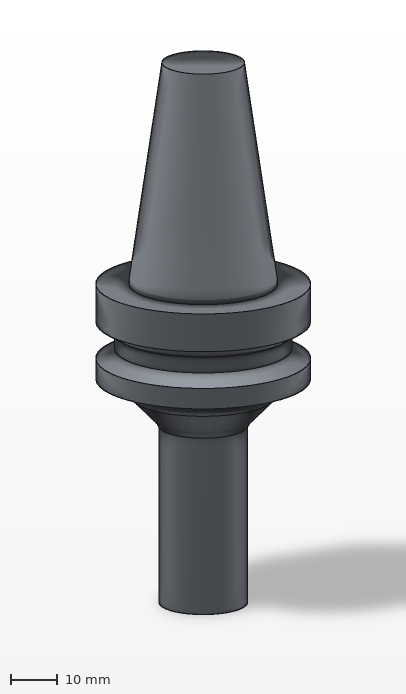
import cadquery as cq

shank_dia = 19.0
taper_tip_dia = 17.7
gauge_dia = 31.8
flange_dia = 46.0
groove_dia = 38.0
collar_dia = 31.0
neck_dia = 20.2
flange_foot_dia = 34.9

overall_length = 120.4
shank_top = 39.4
neck_top = 40.5
collar_bottom = 46.0
collar_top = 47.9
flange_bottom = 49.8
lower_rim_top = 54.4
groove_bottom = 56.7
groove_top = 60.2
upper_rim_bottom = 62.6
flange_top = 71.0
taper_bottom = 72.0

profile = [
    (shank_dia, 0),
    (shank_dia, shank_top),
    (neck_dia, neck_top),
    (collar_dia, collar_bottom),
    (collar_dia, collar_top),
    (flange_foot_dia, flange_bottom),
    (flange_dia, flange_bottom),
    (flange_dia, lower_rim_top),
    (groove_dia, groove_bottom),
    (groove_dia, groove_top),
    (flange_dia, upper_rim_bottom),
    (flange_dia, flange_top),
    (gauge_dia, flange_top),
    (gauge_dia, taper_bottom),
    (taper_tip_dia, overall_length),
]

half_section = cq.Workplane("XZ").moveTo(0, 0)
for diameter, height in profile:
    half_section = half_section.lineTo(diameter / 2, height)
half_section = half_section.lineTo(0, overall_length).close()

result = half_section.revolve(360, (0, 0, 0), (0, 1, 0))